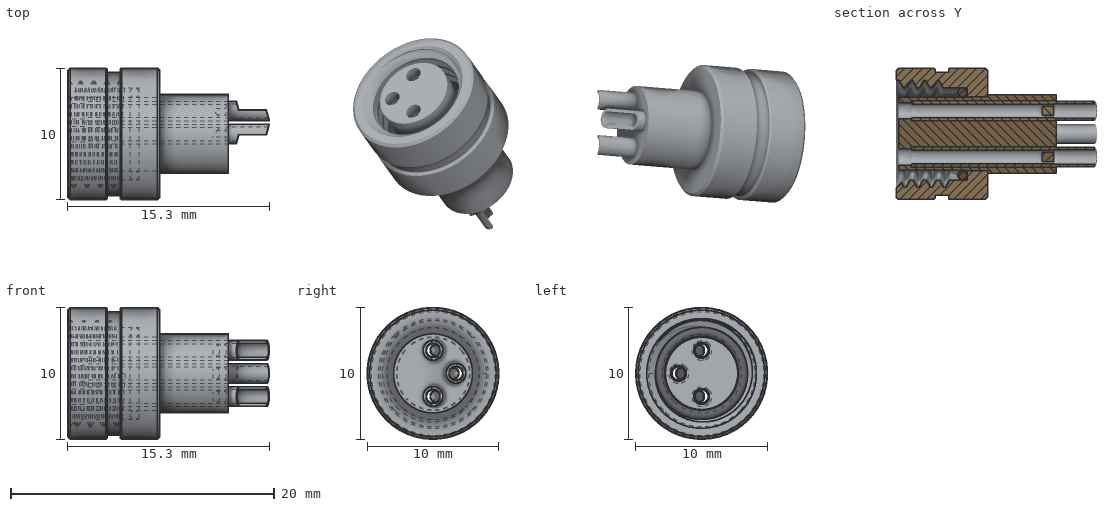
import cadquery as cq
import math


HOUSING_RADIUS = 5.0
HOUSING_LENGTH = 7.0
NECK_RADIUS = 4.7
NECK_START = 3.0
NECK_END = 4.0
END_CHAMFER_DEPTH = 0.2
END_CHAMFER_HEIGHT = 0.2
FRONT_COLLAR_INNER_CHAMFER = 0.12
REAR_COLLAR_INNER_CHAMFER = 0.08
BORE_RADIUS = 3.5
MOUTH_RADIUS = 4.17
MOUTH_DEPTH = 0.6

THREAD_PITCH = 1.0
CREST_WIDTH = THREAD_PITCH / 4
ROOT_WIDTH = THREAD_PITCH / 8
GROOVE_OPENING = THREAD_PITCH - CREST_WIDTH
FLANK_ANGLE = 30.0
GROOVE_DEPTH = (GROOVE_OPENING - ROOT_WIDTH) / 2 / math.tan(math.radians(FLANK_ANGLE))
GROOVE_OVERLAP = 0.05
THREAD_START = -1.05
THREAD_TURNS = 5

INSERT_RADIUS = 2.8
INSERT_FRONT = 0.2
INSERT_EDGE_CHAMFER = 0.05
TAIL_RADIUS = 3.0
TAIL_END = 12.2
SEAL_SECTION_RADIUS = (BORE_RADIUS - INSERT_RADIUS) / 2
SEAL_CENTER_RADIUS = (BORE_RADIUS + INSERT_RADIUS) / 2
BORE_DEPTH = 5.4
SEAL_POSITION = BORE_DEPTH - SEAL_SECTION_RADIUS

CONTACT_CIRCLE_RADIUS = 1.75
CONTACT_ENTRY_RADIUS = 0.6
CONTACT_RADIUS = 0.75
CONTACT_FRONT = INSERT_FRONT + 1.0
CONTACT_END = 15.3
SOCKET_RADIUS = 0.5
CUP_RADIUS = 0.53
CUP_BORE_START = 12.0
CUP_CUT_START = 12.8
CUP_CUT_OFFSET = 0.075
CUP_SLANT = math.tan(math.radians(15.0))
STOP_RADIUS = 0.42
STOP_OFFSET = 0.2
STOP_LENGTH = 1.0
STOP_RIM = 0.1
STOP_SLOPE = math.tan(math.radians(40.0))

CONTACTS = [
    (0.0, CONTACT_CIRCLE_RADIUS, 1),
    (0.0, -CONTACT_CIRCLE_RADIUS, 1),
    (CONTACT_CIRCLE_RADIUS, 0.0, -1),
]


def revolve_about_x(points):
    """Revolve a closed (X, radius) outline about the X axis."""
    return cq.Workplane("XY").polyline(points).close().revolve(360, (0, 0, 0), (1, 0, 0))


def rod(start, end, radius, y=0.0, z=0.0):
    """Round rod parallel to X."""
    return cq.Workplane("YZ", origin=(start, y, z)).circle(radius).extrude(end - start)


def make_thread_groove():
    """Helical trapezoid that cuts the internal thread, first on Z and then turned onto X."""
    helix = cq.Wire.makeHelix(THREAD_PITCH, THREAD_TURNS * THREAD_PITCH, BORE_RADIUS)
    half_inner = GROOVE_OPENING / 2 + GROOVE_OVERLAP * math.tan(math.radians(FLANK_ANGLE))
    half_root = ROOT_WIDTH / 2
    groove = (
        cq.Workplane("XZ")
        .polyline([
            (BORE_RADIUS - GROOVE_OVERLAP, -half_inner),
            (BORE_RADIUS + GROOVE_DEPTH, -half_root),
            (BORE_RADIUS + GROOVE_DEPTH, half_root),
            (BORE_RADIUS - GROOVE_OVERLAP, half_inner),
        ])
        .close()
        .sweep(cq.Workplane(helix), isFrenet=True)
    )
    groove = groove.rotate((0, 0, 0), (0, 1, 0), 90).rotate((0, 0, 0), (1, 0, 0), 90)
    return groove.translate((THREAD_START, 0, 0))


def make_housing():
    end_radius = HOUSING_RADIUS - END_CHAMFER_HEIGHT
    body = revolve_about_x([
        (0, MOUTH_RADIUS),
        (0, end_radius),
        (END_CHAMFER_DEPTH, HOUSING_RADIUS),
        (NECK_START - FRONT_COLLAR_INNER_CHAMFER, HOUSING_RADIUS),
        (NECK_START, HOUSING_RADIUS - FRONT_COLLAR_INNER_CHAMFER),
        (NECK_START, NECK_RADIUS),
        (NECK_END, NECK_RADIUS),
        (NECK_END, HOUSING_RADIUS - REAR_COLLAR_INNER_CHAMFER),
        (NECK_END + REAR_COLLAR_INNER_CHAMFER, HOUSING_RADIUS),
        (HOUSING_LENGTH - END_CHAMFER_DEPTH, HOUSING_RADIUS),
        (HOUSING_LENGTH, end_radius),
        (HOUSING_LENGTH, INSERT_RADIUS),
        (BORE_DEPTH, INSERT_RADIUS),
        (BORE_DEPTH, BORE_RADIUS),
        (MOUTH_DEPTH, BORE_RADIUS),
    ])
    return body.cut(make_thread_groove())


def make_insert():
    body = revolve_about_x([
        (INSERT_FRONT, 0),
        (INSERT_FRONT, INSERT_RADIUS - INSERT_EDGE_CHAMFER),
        (INSERT_FRONT + INSERT_EDGE_CHAMFER, INSERT_RADIUS),
        (HOUSING_LENGTH, INSERT_RADIUS),
        (HOUSING_LENGTH, TAIL_RADIUS),
        (TAIL_END, TAIL_RADIUS),
        (TAIL_END, 0),
    ])
    for y, z, _ in CONTACTS:
        body = body.cut(rod(INSERT_FRONT, CONTACT_FRONT, CONTACT_ENTRY_RADIUS, y, z))
        body = body.cut(rod(CONTACT_FRONT, TAIL_END, CONTACT_RADIUS, y, z))
    return body


def make_seal_ring():
    return (
        cq.Workplane("XY")
        .center(SEAL_POSITION, SEAL_CENTER_RADIUS)
        .circle(SEAL_SECTION_RADIUS)
        .revolve(360, (0, -SEAL_CENTER_RADIUS, 0), (1, -SEAL_CENTER_RADIUS, 0))
    )


def make_stop():
    """Stop at the bottom of the socket: a short rod with a flat rim and a sloping front."""
    front = CUP_BORE_START - STOP_LENGTH
    rim_edge = STOP_OFFSET - STOP_RADIUS
    far_edge = STOP_OFFSET + STOP_RADIUS
    slope_start = rim_edge + STOP_RIM
    profile = (
        cq.Workplane("XY")
        .polyline([
            (front, rim_edge),
            (front, slope_start),
            (front + (far_edge - slope_start) * STOP_SLOPE, far_edge),
            (CUP_BORE_START, far_edge),
            (CUP_BORE_START, rim_edge),
        ])
        .close()
        .extrude(STOP_RADIUS, both=True)
    )
    return rod(front, CUP_BORE_START, STOP_RADIUS, STOP_OFFSET).intersect(profile)


def make_contact():
    """Contact on the X axis with its solder cup open toward -Y."""
    tip_at_cut = CONTACT_END - (CONTACT_RADIUS + CUP_CUT_OFFSET) * CUP_SLANT
    step_at_cut = CUP_CUT_START + (CONTACT_RADIUS - CUP_CUT_OFFSET) * CUP_SLANT
    side_profile = (
        cq.Workplane("XY")
        .polyline([
            (CONTACT_FRONT, -CONTACT_RADIUS),
            (CUP_CUT_START, -CONTACT_RADIUS),
            (step_at_cut, -CUP_CUT_OFFSET),
            (tip_at_cut, -CUP_CUT_OFFSET),
            (CONTACT_END, CONTACT_RADIUS),
            (CONTACT_FRONT, CONTACT_RADIUS),
        ])
        .close()
        .extrude(CONTACT_RADIUS, both=True)
    )
    shell = rod(CONTACT_FRONT, CONTACT_END, CONTACT_RADIUS).intersect(side_profile)
    shell = shell.cut(rod(CONTACT_FRONT, CUP_BORE_START, SOCKET_RADIUS))
    shell = shell.cut(rod(CUP_BORE_START, CONTACT_END, CUP_RADIUS))
    return shell.union(make_stop())


housing = make_housing()
insert = make_insert()
seal_ring = make_seal_ring()

contacts = []
for contact_y, contact_z, closed_side in CONTACTS:
    contact = make_contact()
    if closed_side < 0:
        contact = contact.rotate((0, 0, 0), (1, 0, 0), 180)
    contacts.append(contact.translate((0, contact_y, contact_z)))

result = cq.Compound.makeCompound([
    housing.val(),
    insert.val(),
    seal_ring.val(),
    *[contact.val() for contact in contacts],
])